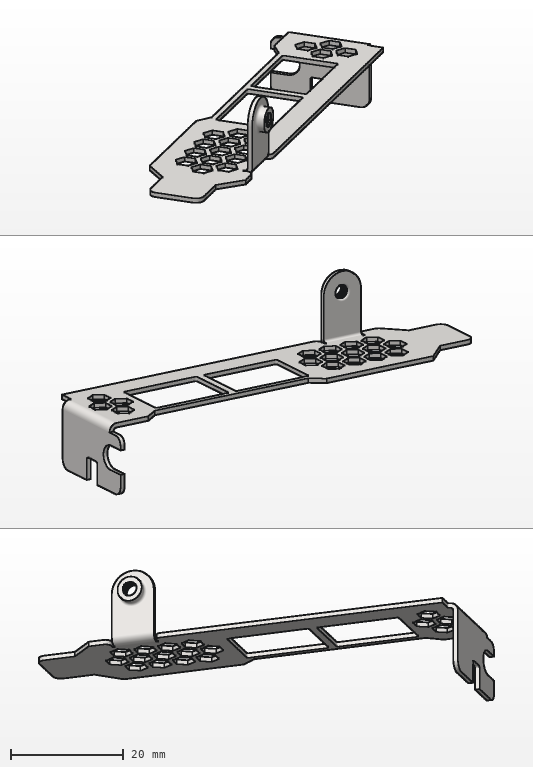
import cadquery as cq
import math

length = 80.1
plate_width = 18.35
sheet = 0.9
ear_bend_inner = 0.65
ear_bend_outer = ear_bend_inner + sheet
tab_bend_inner = 0.5

tongue_left = 4.1
tongue_right = plate_width - tongue_left
tongue_length = 7.3
tongue_fillet = 1.5
shoulder_y = tongue_length + tongue_left
side_step = 1.9
side_step_rise = 2.65
side_step_bottom = 34.0
side_step_top = 71.85
plate_end = length - 1.85
notch_fillet = 0.25

window_left = 3.05
window_width = 10.6
window_height = 15.45
window_bottom = 35.8
window_gap = 1.5
window_fillet = 0.3

vent_flats = 3.5
vent_pitch = 4.5
vent_column_step = vent_pitch * math.sqrt(3) / 2
vent_x = 9.2
lower_vents_y = 22.4
upper_vents_y = 73.8

ear_left = -3.6
ear_right = 15.3
ear_bottom = -12.6
ear_top = -ear_bend_outer
ear_top_fillet = 1.5
ear_bottom_fillet = 1.8
screw_slot_diameter = 4.6
screw_slot_x = -0.3
screw_slot_z = -6.2
key_left = 4.0
key_width = 3.4
key_top = -8.25
key_fillet = 0.4

tab_inner_x = 17.05
tab_outer_x = tab_inner_x + sheet
tab_bend_x = tab_inner_x - tab_bend_inner
tab_width = 7.9
tab_y = 19.55
tab_top = 12.6
tab_radius = tab_width / 2
hole_z = tab_top - tab_radius
hole_diameter = 2.6
hole_mouth_fillet = 0.4
collar_diameter = 4.6
collar_root_fillet = 0.5
thread_diameter = 3.1
thread_pitch = 0.5
thread_count = 4
overall_width = 23.15
collar_end_x = ear_left + overall_width
relief_gap = 0.3
relief_depth_past_bend = 0.25
relief_fillet = 1.1


def box(x0, x1, y0, y1, z0, z1):
    """Box given by its limits along each axis."""
    return cq.Workplane("XY").box(x1 - x0, y1 - y0, z1 - z0, centered=False).translate((x0, y0, z0))


def make_plate():
    outline = [
        (tongue_left, 0),
        (tongue_right, 0),
        (tongue_right, tongue_length),
        (plate_width, shoulder_y),
        (plate_width, plate_end),
        (ear_right, plate_end),
        (ear_right, length - ear_bend_outer),
        (0, length - ear_bend_outer),
        (0, side_step_top),
        (side_step, side_step_top - side_step_rise),
        (side_step, side_step_bottom + side_step_rise),
        (0, side_step_bottom),
        (0, shoulder_y),
        (tongue_left, tongue_length),
    ]
    plate = cq.Workplane("XY").polyline(outline).close().extrude(-sheet)
    plate = plate.edges("|Z").edges("<Y").fillet(tongue_fillet)
    notch_corner = cq.selectors.NearestToPointSelector((ear_right, plate_end, -sheet / 2))
    return plate.edges("|Z").edges(notch_corner).fillet(notch_fillet)


def cut_windows(plate):
    for row in range(2):
        bottom = window_bottom + row * (window_height + window_gap)
        window = box(window_left, window_left + window_width, bottom, bottom + window_height, -sheet, 0)
        plate = plate.cut(window.edges("|Z").fillet(window_fillet))
    return plate


def vent_group(center_y, middle_count):
    """Centers of a middle column of vents and two side columns with one vent fewer."""
    centers = []
    for column, count in ((-1, middle_count - 1), (0, middle_count), (1, middle_count - 1)):
        for row in range(count):
            y = center_y + (row - (count - 1) / 2) * vent_pitch
            centers.append((vent_x + column * vent_column_step, y))
    return centers


def cut_vents(plate):
    centers = vent_group(lower_vents_y, 5) + vent_group(upper_vents_y, 2)
    across_corners = vent_flats * 2 / math.sqrt(3)
    vents = cq.Workplane("XY").pushPoints(centers).polygon(6, across_corners).extrude(-sheet)
    return plate.cut(vents)


def cut_tab_relief(plate):
    half = tab_width / 2 + relief_gap
    relief_start = tab_bend_x - relief_depth_past_bend
    relief = box(relief_start, plate_width, tab_y - half, tab_y + half, -sheet, 0)
    plate = plate.cut(relief)
    for y in (tab_y - half, tab_y + half):
        corner = cq.selectors.NearestToPointSelector((plate_width, y, -sheet / 2))
        plate = plate.edges("|Z").edges(corner).fillet(relief_fillet)
    return plate


def quarter_bend(plane, inner, width):
    """Quarter ring around the origin, in the first quadrant of the plane."""
    outer = inner + sheet
    return (
        cq.Workplane(plane)
        .moveTo(inner, 0)
        .lineTo(outer, 0)
        .radiusArc((0, outer), -outer)
        .lineTo(0, inner)
        .radiusArc((inner, 0), inner)
        .close()
        .extrude(width)
    )


def make_ear():
    face_y = length - sheet
    blade = box(ear_left, ear_right, face_y, length, ear_bottom, ear_top)
    blade = blade.edges("|Y").edges("<Z").fillet(ear_bottom_fillet)
    blade = blade.edges("|Y").edges("<X and >Z").fillet(ear_top_fillet)

    slot_radius = screw_slot_diameter / 2
    slot = box(
        ear_left, screw_slot_x, face_y, length, screw_slot_z - slot_radius, screw_slot_z + slot_radius
    )
    slot_end = (
        cq.Workplane("XZ", origin=(screw_slot_x, length, screw_slot_z)).circle(slot_radius).extrude(sheet)
    )
    key = box(key_left, key_left + key_width, face_y, length, ear_bottom, key_top)
    key = key.edges("|Y").edges(">Z").fillet(key_fillet)

    bend = quarter_bend("YZ", ear_bend_inner, ear_right)
    bend = bend.translate((0, length - ear_bend_outer, -ear_bend_outer))
    return blade.cut(slot).cut(slot_end).cut(key).union(bend)


def make_tab():
    tab = (
        cq.Workplane("YZ", origin=(tab_inner_x, tab_y, 0))
        .moveTo(-tab_radius, tab_bend_inner)
        .lineTo(tab_radius, tab_bend_inner)
        .lineTo(tab_radius, hole_z)
        .threePointArc((0, tab_top), (-tab_radius, hole_z))
        .close()
        .extrude(sheet)
    )
    bend = (
        quarter_bend("XZ", tab_bend_inner, tab_width)
        .mirror("XY")
        .translate((tab_bend_x, tab_y + tab_radius, tab_bend_inner))
    )
    foot = box(
        tab_bend_x - relief_depth_past_bend, tab_bend_x, tab_y - tab_radius, tab_y + tab_radius, -sheet, 0
    )
    hole_radius = hole_diameter / 2
    collar_radius = collar_diameter / 2
    mouth_radius = hole_radius + hole_mouth_fillet
    root_radius = collar_radius + collar_root_fillet
    wall = cq.Workplane("XZ").moveTo(tab_inner_x, mouth_radius)
    wall = wall.radiusArc((tab_inner_x + hole_mouth_fillet, hole_radius), -hole_mouth_fillet)
    thread_start = collar_end_x - thread_count * thread_pitch
    for turn in range(thread_count):
        groove_x = thread_start + turn * thread_pitch
        wall = wall.lineTo(groove_x, hole_radius)
        wall = wall.lineTo(groove_x + thread_pitch / 2, thread_diameter / 2)
    wall = (
        wall.lineTo(collar_end_x, hole_radius)
        .lineTo(collar_end_x, collar_radius)
        .lineTo(tab_outer_x + collar_root_fillet, collar_radius)
        .radiusArc((tab_outer_x, root_radius), collar_root_fillet)
        .lineTo(tab_inner_x, root_radius)
        .close()
        .revolve(360, (0, 0, 0), (1, 0, 0))
        .translate((0, tab_y, hole_z))
    )
    opening = cq.Workplane("YZ", origin=(tab_inner_x, tab_y, hole_z)).circle(root_radius).extrude(sheet)
    return tab.cut(opening).union(wall).union(bend).union(foot)


plate = make_plate()
plate = cut_windows(plate)
plate = cut_vents(plate)
plate = cut_tab_relief(plate)
result = plate.union(make_ear()).union(make_tab())